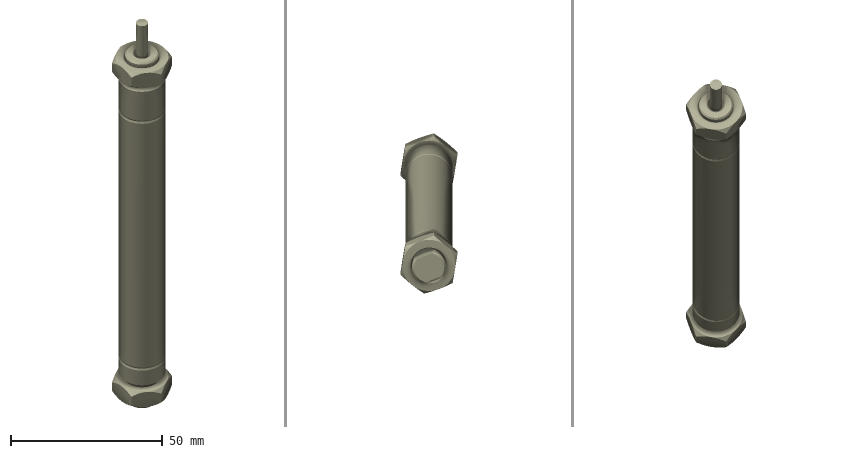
import cadquery as cq
import math

overall_length = 158.8
nose_top = 145.9
head_top = 136.4
head_groove_top = 123.5
rear_groove_top = 19.4
groove_width = 1.3
rear_shoulder = 11.3

barrel_diameter = 15.7
groove_depth = 0.3
cap_chamfer = 0.6

thread_diameter = 11.3
nose_chamfer = 0.5
stub_chamfer = 0.6
relief_diameter = 8.4
stub_flats_width = 8.4

nut_across_flats = 17.5
nut_height = 6.4
nut_corner_chamfer = 1.35
nut_bore_chamfer = 0.5
head_nut_bottom = 138.0
rear_nut_bottom = 3.3

rod_diameter = 4.0
rod_bottom = head_groove_top
rod_recess_diameter = 6.0
rod_recess_depth = (rod_recess_diameter - rod_diameter) / 2

turning_plane = cq.Plane(origin=(0, 0, 0), xDir=(0, -1, 0), normal=(-1, 0, 0))


def turned(profile):
    """Revolve a closed outline of (radius, height) points about the Z axis."""
    return cq.Workplane(turning_plane).polyline(profile).close().revolve(360, (0, 0), (0, 1))


def groove(top):
    """V-section ring to cut from the barrel where it meets a cap."""
    outer = barrel_diameter / 2
    return turned([
        (outer, top - groove_width),
        (outer - groove_depth, top - groove_width / 2),
        (outer, top),
    ])


def rear_stub():
    """Threaded stub with a chamfered end and two flats facing -X and +X."""
    radius = thread_diameter / 2
    stub = turned([
        (0, 0),
        (radius - stub_chamfer, 0),
        (radius, stub_chamfer),
        (radius, rear_shoulder),
        (0, rear_shoulder),
    ])
    between_flats = cq.Workplane("XY").rect(stub_flats_width, thread_diameter).extrude(rear_shoulder)
    return stub.intersect(between_flats)


def make_cylinder_body():
    """Barrel with its two caps, threaded nose and rear stub, bored for the rod."""
    barrel_radius = barrel_diameter / 2
    relief_radius = relief_diameter / 2
    thread_radius = thread_diameter / 2
    rod_radius = rod_diameter / 2
    body = turned([
        (0, rear_shoulder),
        (barrel_radius - cap_chamfer, rear_shoulder),
        (barrel_radius, rear_shoulder + cap_chamfer),
        (barrel_radius, head_top - cap_chamfer),
        (barrel_radius - cap_chamfer, head_top),
        (relief_radius, head_top),
        (relief_radius, head_nut_bottom),
        (thread_radius, head_nut_bottom),
        (thread_radius, nose_top - nose_chamfer),
        (thread_radius - nose_chamfer, nose_top),
        (rod_recess_diameter / 2, nose_top),
        (rod_radius, nose_top - rod_recess_depth),
        (rod_radius, rod_bottom),
        (0, rod_bottom),
    ])
    for top in (head_groove_top, rear_groove_top):
        body = body.cut(groove(top))
    return body.union(rear_stub())


def make_piston_rod():
    """Plain round rod from the bottom of its bore to the top of the part."""
    radius = rod_diameter / 2
    return turned([(0, rod_bottom), (radius, rod_bottom), (radius, overall_length), (0, overall_length)])


def make_nut(bottom):
    """Hexagon nut with corners towards -Y and +Y, with chamfered corners and bore."""
    across_corners = nut_across_flats / math.cos(math.pi / 6)
    corner_radius = across_corners / 2
    face_radius = corner_radius - nut_corner_chamfer
    bore_radius = thread_diameter / 2
    top = bottom + nut_height
    hexagon = (
        cq.Workplane("XY", origin=(0, 0, bottom))
        .polygon(6, across_corners)
        .extrude(nut_height)
        .rotate((0, 0, 0), (0, 0, 1), 30)
    )
    chamfered_ring = turned([
        (bore_radius, bottom + nut_bore_chamfer),
        (bore_radius + nut_bore_chamfer, bottom),
        (face_radius, bottom),
        (corner_radius, bottom + nut_corner_chamfer),
        (corner_radius, top - nut_corner_chamfer),
        (face_radius, top),
        (bore_radius + nut_bore_chamfer, top),
        (bore_radius, top - nut_bore_chamfer),
    ])
    return hexagon.intersect(chamfered_ring)


cylinder_body = make_cylinder_body()
piston_rod = make_piston_rod()
nuts = [make_nut(bottom) for bottom in (head_nut_bottom, rear_nut_bottom)]

result = cq.Compound.makeCompound([
    cylinder_body.val(),
    piston_rod.val(),
    *[nut.val() for nut in nuts],
])